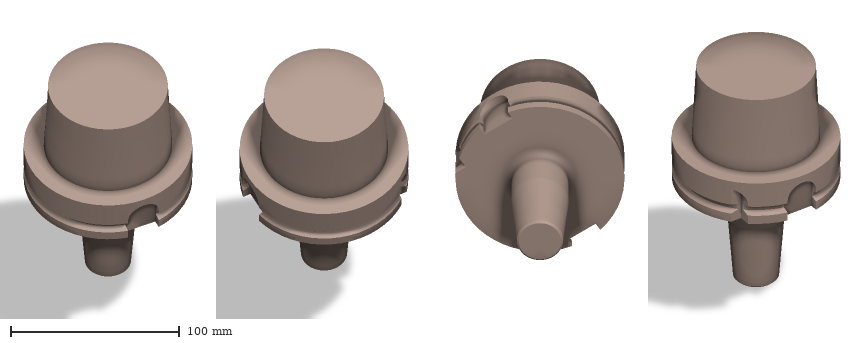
import cadquery as cq
import math


TOTAL_HEIGHT = 150.5
SHANK_HEIGHT = 50.1
SHANK_TOP_RADIUS = 35.5
SHANK_BASE_RADIUS = 38.1

COLLAR_RADIUS = 100.0 / 2
COLLAR_DEPTH = 29.0
GROOVE_RADIUS = 45.9
GROOVE_CENTRE_DEPTH = 20.0
GROOVE_MOUTH_WIDTH = 6.5
GROOVE_FLOOR_WIDTH = 3.8

NOSE_RADIUS = 34.0 / 2
NOSE_FILLET = 5.0
NOSE_TAPER_DEPTH = 55.8
NOSE_TIP_RADIUS = 13.7
TIP_CHAMFER = 1.2

SLOT_WIDTH = 20.2
SLOT_TOP_DEPTH = 5.0
DRIVE_SLOT_FLOOR = 44.0
NOTCH_FLOOR = 31.5
NOTCH_INNER_WALL = 31.6

nose_depth = TOTAL_HEIGHT - SHANK_HEIGHT


def make_shank():
    """Solid cone standing on the collar."""
    return (
        cq.Workplane("XZ")
        .moveTo(0, 0)
        .lineTo(SHANK_BASE_RADIUS, 0)
        .lineTo(SHANK_TOP_RADIUS, SHANK_HEIGHT)
        .lineTo(0, SHANK_HEIGHT)
        .close()
        .revolve(360, (0, 0), (0, 1))
    )


def make_turned_holder():
    """Collar with its V-sided groove, blended into the tapered nose."""
    half_mouth = GROOVE_MOUTH_WIDTH / 2
    half_floor = GROOVE_FLOOR_WIDTH / 2
    fillet_centre_r = NOSE_RADIUS + NOSE_FILLET
    fillet_centre_z = -COLLAR_DEPTH - NOSE_FILLET
    fillet_offset = NOSE_FILLET * math.sqrt(0.5)
    return (
        cq.Workplane("XZ")
        .moveTo(0, 0)
        .lineTo(COLLAR_RADIUS, 0)
        .lineTo(COLLAR_RADIUS, -GROOVE_CENTRE_DEPTH + half_mouth)
        .lineTo(GROOVE_RADIUS, -GROOVE_CENTRE_DEPTH + half_floor)
        .lineTo(GROOVE_RADIUS, -GROOVE_CENTRE_DEPTH - half_floor)
        .lineTo(COLLAR_RADIUS, -GROOVE_CENTRE_DEPTH - half_mouth)
        .lineTo(COLLAR_RADIUS, -COLLAR_DEPTH)
        .lineTo(fillet_centre_r, -COLLAR_DEPTH)
        .threePointArc(
            (fillet_centre_r - fillet_offset, fillet_centre_z + fillet_offset),
            (NOSE_RADIUS, fillet_centre_z),
        )
        .lineTo(NOSE_RADIUS, -NOSE_TAPER_DEPTH)
        .lineTo(NOSE_TIP_RADIUS, -nose_depth + TIP_CHAMFER)
        .lineTo(NOSE_TIP_RADIUS - TIP_CHAMFER, -nose_depth)
        .lineTo(0, -nose_depth)
        .close()
        .revolve(360, (0, 0), (0, 1))
    )


def slot_cutter(floor_distance, centre_y):
    """Round-topped slot open at the collar's bottom, running outward along +X."""
    radius = SLOT_WIDTH / 2
    arc_centre_z = -SLOT_TOP_DEPTH - radius
    return (
        cq.Workplane("YZ", origin=(floor_distance, centre_y, 0))
        .moveTo(-radius, -COLLAR_DEPTH)
        .lineTo(-radius, arc_centre_z)
        .threePointArc((0, -SLOT_TOP_DEPTH), (radius, arc_centre_z))
        .lineTo(radius, -COLLAR_DEPTH)
        .close()
        .extrude(COLLAR_RADIUS)
    )


def make_holder():
    """Turned holder with opposite drive slots and one notch in the -X, +Y quadrant."""
    holder = make_turned_holder()
    drive_slot = slot_cutter(DRIVE_SLOT_FLOOR, 0)
    for angle in (0, 180):
        holder = holder.cut(drive_slot.rotate((0, 0, 0), (0, 0, 1), angle))
    notch_centre_y = NOTCH_INNER_WALL + SLOT_WIDTH / 2
    notch = slot_cutter(NOTCH_FLOOR, notch_centre_y).mirror("YZ")
    return holder.cut(notch)


shank = make_shank()
holder = make_holder()

result = cq.Compound.makeCompound([shank.val(), holder.val()])